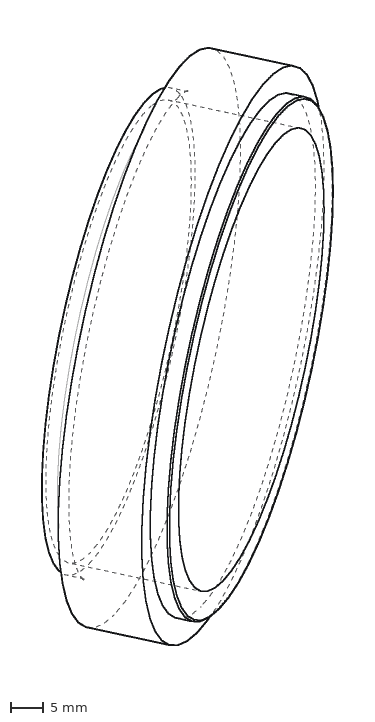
import cadquery as cq

bore_diameter = 72.9
neck_diameter = 76.7
flange_diameter = 91.19
spigot_diameter = 82.6

neck_length = 5.0
flange_length = 13.5
spigot_length = 3.0

neck_fillet_radius = 2.5
spigot_chamfer = 0.3

flange_start = neck_length
flange_end = flange_start + flange_length
ring_end = flange_end + spigot_length


def ring_profile():
    """Half section of the ring, with X along the axis and Y as the radius."""
    bore_radius = bore_diameter / 2
    neck_radius = neck_diameter / 2
    flange_radius = flange_diameter / 2
    spigot_radius = spigot_diameter / 2
    return (
        cq.Workplane("XY")
        .moveTo(0, bore_radius)
        .lineTo(0, neck_radius)
        .lineTo(flange_start - neck_fillet_radius, neck_radius)
        .radiusArc((flange_start, neck_radius + neck_fillet_radius), -neck_fillet_radius)
        .lineTo(flange_start, flange_radius)
        .lineTo(flange_end, flange_radius)
        .lineTo(flange_end, spigot_radius)
        .lineTo(ring_end - spigot_chamfer, spigot_radius)
        .lineTo(ring_end, spigot_radius - spigot_chamfer)
        .lineTo(ring_end, bore_radius)
        .close()
    )


result = ring_profile().revolve(360, (0, 0, 0), (1, 0, 0))